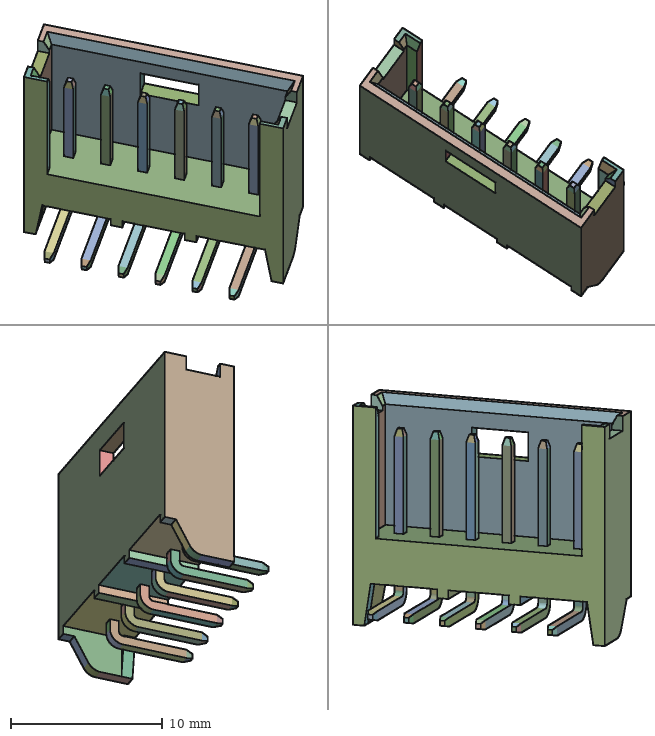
import cadquery as cq

pin_count = 6
pitch = 2.54

width = 17.8
depth = 5.0
height = 12.0
floor_thickness = 3.1
side_wall = 0.8
front_wall = 0.65
back_wall = 1.0
opening_width = 14.6

bevel_run = 0.4
bevel_drop = 0.7

notch_front = 1.0
notch_back = 3.45
notch_depth = 1.0

window_width = 4.0
window_height = 1.95
window_below_rim = 1.8

leg_drop = 2.9
leg_heel_drop = 0.6
leg_heel_length = 0.8
leg_foot_length = 2.9
leg_root_width = 1.25
leg_flange_depth = 0.8
leg_toe_radius = 1.0

standoff_width = 0.8
standoff_drop = 0.6

pin_width = 0.64
pin_y = 2.2
pin_below_rim = 1.8
pin_reach = 3.5
pin_axis_drop = 1.4
pin_inner_bend = 0.3
tip_length = 0.5
tip_width = 0.34

cavity_width = width - 2 * side_wall
cavity_depth = depth - front_wall - back_wall
cavity_y = front_wall + cavity_depth / 2
pin_top = height - pin_below_rim
pin_bend_radius = pin_inner_bend + pin_width / 2
first_pin_x = -pitch * (pin_count - 1) / 2


def block(x_size, y_range, z_range):
    """Box centred on X = 0 that spans the given Y and Z ranges."""
    y_size = y_range[1] - y_range[0]
    z_size = z_range[1] - z_range[0]
    corner = cq.Workplane("XY", origin=(-x_size / 2, y_range[0], z_range[0]))
    return corner.box(x_size, y_size, z_size, centered=False)


def make_cavity():
    """Open-topped cavity whose mouth flares out in a bevel."""
    straight = block(cavity_width, (front_wall, depth - back_wall), (floor_thickness, height))
    flare = (
        cq.Workplane("XY", origin=(0, cavity_y, height - bevel_drop))
        .rect(cavity_width, cavity_depth)
        .workplane(offset=bevel_drop)
        .rect(cavity_width + 2 * bevel_run, cavity_depth + 2 * bevel_run)
        .loft(ruled=True)
    )
    return straight.union(flare)


def make_housing():
    """Shroud with its cavity, front opening, side notches and latch window."""
    opening = block(opening_width, (0, front_wall), (floor_thickness, height))
    notches = block(width, (notch_front, notch_back), (height - notch_depth, height))
    window_top = height - window_below_rim
    window = block(window_width, (depth - back_wall, depth), (window_top - window_height, window_top))
    shell = block(width, (0, depth), (0, height))
    return shell.cut(make_cavity()).cut(opening).cut(notches).cut(window)


def make_legs():
    """Pair of end legs: a side plate with a rounded toe, stiffened by a tapered flange along its front."""
    plate = (
        cq.Workplane("YZ", origin=(-width / 2, 0, 0))
        .polyline([
            (0, 0),
            (depth, 0),
            (depth, -leg_heel_drop),
            (depth - leg_heel_length, -leg_heel_drop),
            (leg_foot_length, -leg_drop),
            (0, -leg_drop),
        ])
        .close()
        .extrude(side_wall)
    )
    toe_corner = (-width / 2 + side_wall / 2, leg_foot_length, -leg_drop)
    plate = plate.edges(cq.selectors.NearestToPointSelector(toe_corner)).fillet(leg_toe_radius)
    flange = (
        cq.Workplane("XZ")
        .polyline([
            (-width / 2, 0),
            (-width / 2 + leg_root_width, 0),
            (-width / 2 + side_wall, -leg_drop),
            (-width / 2, -leg_drop),
        ])
        .close()
        .extrude(-leg_flange_depth)
    )
    leg = plate.union(flange)
    return leg.union(leg.mirror("YZ"))


def make_standoffs():
    """Two ribs running front to back under the housing."""
    rib = block(standoff_width, (0, depth), (-standoff_drop, 0))
    return rib.translate((-pitch, 0, 0)).union(rib.translate((pitch, 0, 0)))


def make_tip(start, direction):
    """Square tapered tip growing from the given point along the given direction."""
    base = cq.Workplane(cq.Plane(origin=start, xDir=(1, 0, 0), normal=direction))
    return (
        base.rect(pin_width, pin_width)
        .workplane(offset=tip_length)
        .rect(tip_width, tip_width)
        .loft(ruled=True)
    )


def make_pin():
    """Square pin at X = 0, bent from vertical to point out of the front, tapered at both ends."""
    shank_top = pin_top - tip_length
    tail_end = -pin_reach + tip_length
    centre_line = (
        cq.Workplane("YZ")
        .moveTo(pin_y, shank_top)
        .lineTo(pin_y, -pin_axis_drop + pin_bend_radius)
        .radiusArc((pin_y - pin_bend_radius, -pin_axis_drop), pin_bend_radius)
        .lineTo(tail_end, -pin_axis_drop)
    )
    section = cq.Workplane("XY", origin=(0, pin_y, shank_top)).rect(pin_width, pin_width)
    upper_tip = make_tip((0, pin_y, shank_top), (0, 0, 1))
    tail_tip = make_tip((0, tail_end, -pin_axis_drop), (0, -1, 0))
    return section.sweep(centre_line).union(upper_tip).union(tail_tip)


result = make_housing().union(make_legs()).union(make_standoffs())
pin = make_pin()
for index in range(pin_count):
    result = result.union(pin.translate((first_pin_x + index * pitch, 0, 0)))